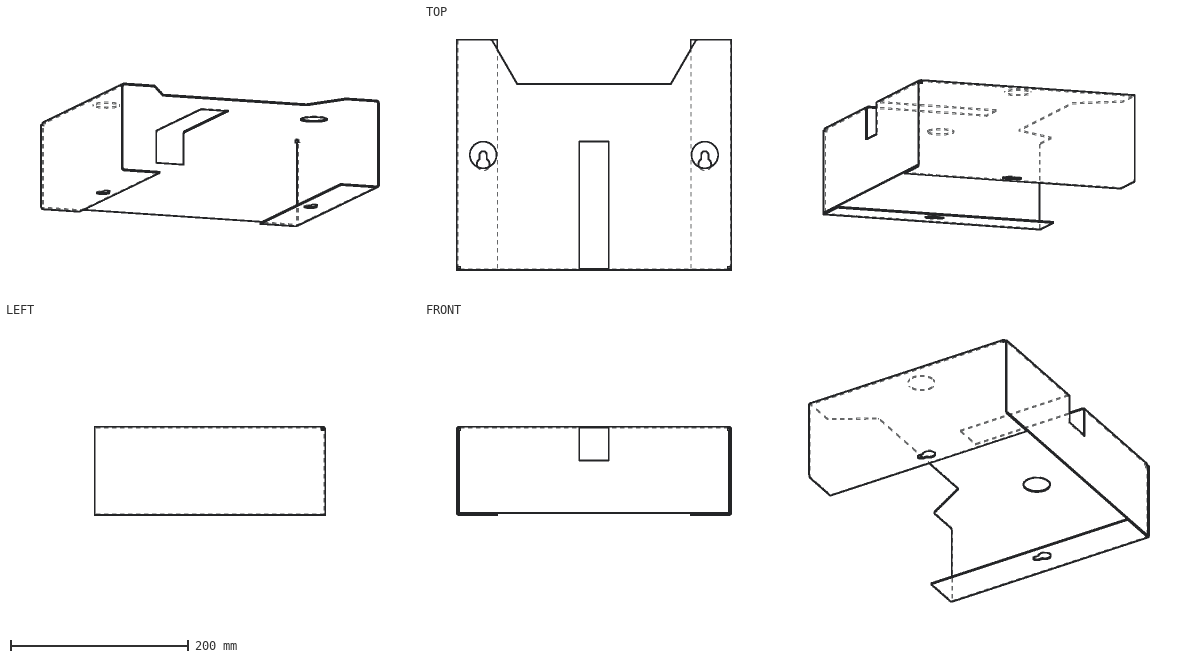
import cadquery as cq
import math

WIDTH = 310.0
DEPTH = 260.0
HEIGHT = 100.0

SHEET = 1.5
INNER_BEND = 2.0
OUTER_BEND = INNER_BEND + SHEET
CLEARANCE = 1.0
RELIEF_REACH = 0.5

FLANGE_WIDTH = 46.0

SLOT_WIDTH = 33.0
SLOT_END_Y = 15.0
SLOT_DROP = 38.0

NOTCH_FLOOR_WIDTH = 173.0
NOTCH_DEPTH = 50.0
NOTCH_FLANK_ANGLE = 30.0
NOTCH_CORNER_RADIUS = 4.0

MOUNT_SPACING = 250.0
ACCESS_DIAMETER = 30.0
KEYHOLE_SLOT_WIDTH = 8.0
KEYHOLE_HEAD_DIAMETER = 14.0
KEYHOLE_DROP = 10.5

SIDES = (-1, 1)
FRONT_Y = -DEPTH / 2
REAR_Y = DEPTH / 2
SIDE_X = WIDTH / 2


def box(x_range, y_range, z_range):
    """Axis-aligned box between the given limits."""
    corners = list(zip(x_range, y_range, z_range))
    size = [high - low for low, high in zip(*corners)]
    return cq.Workplane("XY").box(*size, centered=False).translate(corners[0])


def side_channels():
    """Top plate, side walls and bottom flanges as one bent profile along Y."""
    outer = box((-SIDE_X, SIDE_X), (FRONT_Y, REAR_Y), (0, HEIGHT)).edges("|Y").fillet(OUTER_BEND)
    inner_x = SIDE_X - SHEET
    inner = box((-inner_x, inner_x), (FRONT_Y, REAR_Y), (SHEET, HEIGHT - SHEET))
    inner = inner.edges("|Y").fillet(INNER_BEND)
    flange_x = SIDE_X - FLANGE_WIDTH
    floor_opening = box((-flange_x, flange_x), (FRONT_Y, REAR_Y), (0, SHEET))
    return outer.cut(inner).cut(floor_opening)


def front_wall():
    """Front wall with its bend into the top plate."""
    wall_x = SIDE_X - SHEET - CLEARANCE
    bend_x = SIDE_X - OUTER_BEND
    bend_z = HEIGHT - OUTER_BEND
    bend_y = FRONT_Y + OUTER_BEND
    wall = box((-wall_x, wall_x), (FRONT_Y, FRONT_Y + SHEET), (SHEET + CLEARANCE, bend_z))
    bend = (
        cq.Workplane("YZ", origin=(-bend_x, bend_y, bend_z))
        .circle(OUTER_BEND)
        .circle(INNER_BEND)
        .extrude(2 * bend_x)
        .intersect(box((-bend_x, bend_x), (FRONT_Y, bend_y), (bend_z, HEIGHT)))
    )
    return wall.union(bend)


def front_bend_space():
    """Region along the front edge of the top plate that the front bend replaces."""
    return box((-SIDE_X, SIDE_X), (FRONT_Y, FRONT_Y + OUTER_BEND), (HEIGHT - OUTER_BEND, HEIGHT))


def corner_relief(side):
    """Relief where the front and side bends would meet, leaving the side wall's front lip."""
    reach = OUTER_BEND + RELIEF_REACH
    lip = SHEET + CLEARANCE
    x_inner = side * (SIDE_X - reach)
    x_lip = side * (SIDE_X - lip)
    z_range = (HEIGHT - reach, HEIGHT)
    across_front = box(sorted((x_inner, x_lip)), (FRONT_Y, FRONT_Y + reach), z_range)
    across_side = box(sorted((x_inner, side * SIDE_X)), (FRONT_Y + lip, FRONT_Y + reach), z_range)
    return across_front.union(across_side)


def slot():
    """Slot through the top plate, the front bend and the upper front wall."""
    half = SLOT_WIDTH / 2
    low_z = HEIGHT - SLOT_DROP
    return box((-half, half), (FRONT_Y, SLOT_END_Y), (low_z, HEIGHT))


def rear_notch():
    """Tapered notch with rounded mouth corners, cut from the top plate."""
    floor_x = NOTCH_FLOOR_WIDTH / 2
    floor_y = REAR_Y - NOTCH_DEPTH
    flank = math.radians(NOTCH_FLANK_ANGLE)
    mouth_x = floor_x + NOTCH_DEPTH * math.tan(flank)
    half_turn = (math.pi / 2 - flank) / 2
    tangent = NOTCH_CORNER_RADIUS * math.tan(half_turn)
    edge_x = mouth_x + tangent
    flank_x = mouth_x - tangent * math.sin(flank)
    flank_y = REAR_Y - tangent * math.cos(flank)
    mid_x = edge_x - NOTCH_CORNER_RADIUS * math.sin(half_turn)
    mid_y = REAR_Y - NOTCH_CORNER_RADIUS * (1 - math.cos(half_turn))
    return (
        cq.Workplane("XY", origin=(0, 0, HEIGHT - SHEET))
        .moveTo(-floor_x, floor_y)
        .lineTo(floor_x, floor_y)
        .lineTo(flank_x, flank_y)
        .threePointArc((mid_x, mid_y), (edge_x, REAR_Y))
        .lineTo(-edge_x, REAR_Y)
        .threePointArc((-mid_x, mid_y), (-flank_x, flank_y))
        .close()
        .extrude(SHEET)
    )


def access_hole(x):
    """Round hole in the top plate giving access to a keyhole."""
    return cq.Workplane("XY", origin=(x, 0, HEIGHT - SHEET)).circle(ACCESS_DIAMETER / 2).extrude(SHEET)


def keyhole(x):
    """Keyhole through a bottom flange, its wide end towards the front."""
    neck = (
        cq.Workplane("XY", origin=(x, -KEYHOLE_DROP / 2, 0))
        .slot2D(KEYHOLE_DROP + KEYHOLE_SLOT_WIDTH, KEYHOLE_SLOT_WIDTH, angle=90)
        .extrude(SHEET)
    )
    head = cq.Workplane("XY", origin=(x, -KEYHOLE_DROP, 0)).circle(KEYHOLE_HEAD_DIAMETER / 2).extrude(SHEET)
    return neck.union(head)


result = side_channels().cut(front_bend_space()).union(front_wall())
result = result.cut(slot()).cut(rear_notch())
for side in SIDES:
    mount_x = side * MOUNT_SPACING / 2
    result = result.cut(corner_relief(side)).cut(access_hole(mount_x)).cut(keyhole(mount_x))